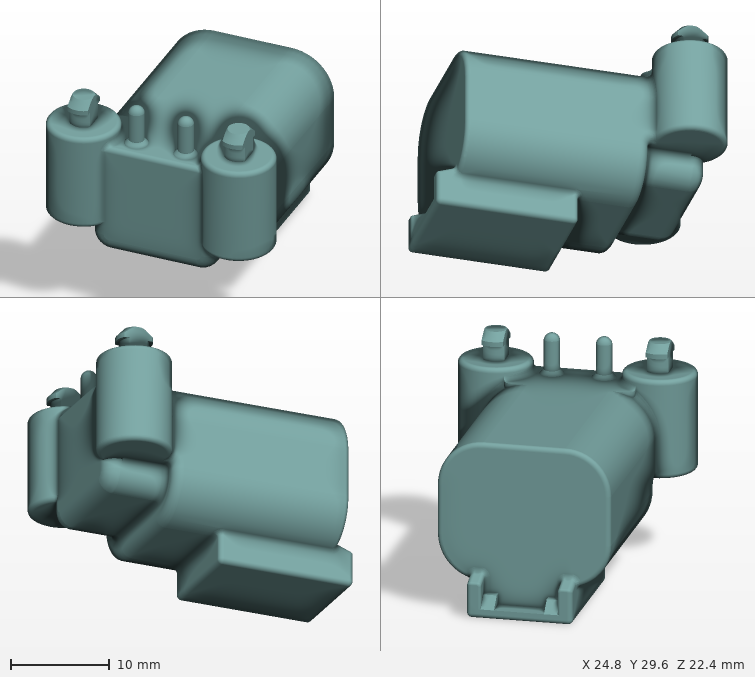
import cadquery as cq
import math


OVERALL_LENGTH = 29.63
TOP_Z = 22.4
EDGE_RADIUS = 0.5

BODY_HALF_WIDTH = 9.05
BODY_BOTTOM_Z = 3.3
BODY_TOP_Z = 18.07
BODY_FRONT_Y = 4.35
BODY_BACK_Y = 23.75
BODY_CORNER_RADIUS = 4.77
BODY_NOSE_RADIUS = 1.0

POST_RADIUS = 3.85
POST_X = 8.55
POST_BOTTOM_Z = 8.83
POST_TOP_Z = 19.35

BLOCK_HALF_WIDTH = 6.87
BLOCK_FRONT_Y = -2.28
BLOCK_BOTTOM_Z = 5.78
BLOCK_CORNER_RADIUS = 2.01
BLOCK_NOSE_RADIUS = 1.5
BLOCK_REAR_RADIUS = 1.0
ROOT_RADIUS = 0.47

WEB_FRONT_Y = -0.6

PIN_X = 2.73
PIN_RADIUS = 0.83
PIN_DOME_HEIGHT = 0.7
COLLAR_RADIUS = 1.27

LATCH_HALF_WIDTH = 1.13
LATCH_NECK_RADIUS = 1.5
LATCH_HEAD_RADIUS = 1.93
LATCH_HEAD_Z = 21.05
LATCH_CONE_Z = 21.55

CONNECTOR_HALF_WIDTH = 5.5
CONNECTOR_FRONT_Y = 10.85
CONNECTOR_BACK_Y = OVERALL_LENGTH - POST_RADIUS
CONNECTOR_BACK_TOP_Z = 3.73
CONNECTOR_SLOPE_DEGREES = 20.0
CONNECTOR_RIM_RADIUS = 0.3

MOUTH_HALF_WIDTH = 4.0
MOUTH_RIM_RADIUS = 0.4
MOUTH_FLOOR_Z = 1.0
RIB_INNER_X = 2.6
RIB_TOP_Z = 2.22
RIB_RAMP_Y = 24.55

ARC_INSET = 1 - math.sqrt(0.5)


def centered_bar(half_width, y0, y1, z0, z1):
    """Box symmetric about X = 0."""
    bar = cq.Workplane("XY").box(2 * half_width, y1 - y0, z1 - z0, centered=(True, False, False))
    return bar.translate((0, y0, z0))


def both_sides(shape):
    """Shape together with its mirror image across X = 0."""
    return shape.union(shape.mirror("YZ"))


def round_edges(part, radius, points):
    """Fillet the edges whose centres lie nearest the points and their mirror images."""
    picked = []
    for x, y, z in points:
        for side_x in {x, -x}:
            picked.append(part.edges(cq.NearestToPointSelector((side_x, y, z))).val())
    return part.newObject(picked).fillet(radius)


def body():
    bar = centered_bar(BODY_HALF_WIDTH, WEB_FRONT_Y, BODY_BACK_Y, BODY_BOTTOM_Z, BODY_TOP_Z)
    bar = bar.edges("|Y").fillet(BODY_CORNER_RADIUS)
    bar = bar.faces(">Y").edges().fillet(EDGE_RADIUS)
    undercut = centered_bar(BODY_HALF_WIDTH, WEB_FRONT_Y, BODY_FRONT_Y, 0, POST_BOTTOM_Z)
    bar = bar.cut(undercut)
    bar = round_edges(bar, EDGE_RADIUS, [(0, BODY_FRONT_Y, POST_BOTTOM_Z)])
    corner_middle = ARC_INSET * BODY_CORNER_RADIUS
    joint_middle = ARC_INSET * EDGE_RADIUS
    nose_edges = [
        (0, BODY_FRONT_Y, BODY_BOTTOM_Z),
        (BODY_HALF_WIDTH - corner_middle, BODY_FRONT_Y, BODY_BOTTOM_Z + corner_middle),
        (BODY_HALF_WIDTH, BODY_FRONT_Y, POST_BOTTOM_Z - EDGE_RADIUS),
        (BODY_HALF_WIDTH, BODY_FRONT_Y - joint_middle, POST_BOTTOM_Z - joint_middle),
        (BODY_HALF_WIDTH, (WEB_FRONT_Y + BODY_FRONT_Y) / 2, POST_BOTTOM_Z),
    ]
    return round_edges(bar, BODY_NOSE_RADIUS, nose_edges)


def posts():
    post = cq.Workplane("XY", origin=(POST_X, 0, POST_BOTTOM_Z)).circle(POST_RADIUS)
    post = post.extrude(POST_TOP_Z - POST_BOTTOM_Z).edges().fillet(EDGE_RADIUS)
    return both_sides(post)


def post_inner_x(y):
    """X where the inner side of the post wall crosses the given Y."""
    return POST_X - math.sqrt(POST_RADIUS**2 - y**2)


def upper_block():
    block = centered_bar(
        BLOCK_HALF_WIDTH, BLOCK_FRONT_Y, BODY_FRONT_Y, POST_BOTTOM_Z + EDGE_RADIUS, BODY_TOP_Z
    )
    block = block.faces(">Y").edges("|Z").fillet(BLOCK_REAR_RADIUS)
    block = block.faces("<Y").edges(">Z").fillet(EDGE_RADIUS)
    return block


def lower_block():
    block = centered_bar(
        BLOCK_HALF_WIDTH, BLOCK_FRONT_Y, BODY_FRONT_Y, BLOCK_BOTTOM_Z, POST_BOTTOM_Z + 2 * EDGE_RADIUS
    )
    block = block.faces("<Z").edges("|Y").fillet(BLOCK_CORNER_RADIUS)
    block = block.faces("<Y").edges("not >Z").fillet(BLOCK_NOSE_RADIUS)
    return block


def body_with_lower_block():
    """Body and lower block with the root of the block rounded along its whole length."""
    block_corner_middle = ARC_INSET * BLOCK_CORNER_RADIUS
    joint_middle = ARC_INSET * EDGE_RADIUS
    corner_top_z = BLOCK_BOTTOM_Z + BLOCK_CORNER_RADIUS
    joint_z = POST_BOTTOM_Z - EDGE_RADIUS
    block_root = [
        (0, BODY_FRONT_Y, BLOCK_BOTTOM_Z),
        (BLOCK_HALF_WIDTH - block_corner_middle, BODY_FRONT_Y, BLOCK_BOTTOM_Z + block_corner_middle),
        (BLOCK_HALF_WIDTH, BODY_FRONT_Y, (corner_top_z + joint_z) / 2),
        (BLOCK_HALF_WIDTH, BODY_FRONT_Y - joint_middle, POST_BOTTOM_Z - joint_middle),
        (BLOCK_HALF_WIDTH, (WEB_FRONT_Y + BODY_FRONT_Y) / 2, POST_BOTTOM_Z),
    ]
    return round_edges(body().union(lower_block()), ROOT_RADIUS, block_root)


def housing():
    """Body, posts and pin block joined with rounded inner corners."""
    middle_z = (POST_BOTTOM_Z + BODY_TOP_Z) / 2
    front_joint_x = post_inner_x(BLOCK_FRONT_Y)

    shell = upper_block().union(posts())
    block_to_post = [
        (front_joint_x, BLOCK_FRONT_Y, middle_z),
        (front_joint_x, BLOCK_FRONT_Y + EDGE_RADIUS / 2, BODY_TOP_Z - EDGE_RADIUS / 2),
        (front_joint_x, -BLOCK_FRONT_Y / 2, BODY_TOP_Z),
    ]
    shell = round_edges(shell, EDGE_RADIUS, block_to_post)

    shell = shell.union(body_with_lower_block())
    body_to_post = [
        (BODY_HALF_WIDTH, POST_RADIUS, middle_z - BODY_NOSE_RADIUS),
        (BODY_HALF_WIDTH - BODY_NOSE_RADIUS, POST_RADIUS, BODY_TOP_Z - BODY_CORNER_RADIUS / 2),
    ]
    return round_edges(shell, EDGE_RADIUS, body_to_post)


def revolved(half_profile):
    """Solid of revolution about the Z axis from an open outline of (radius, height) points."""
    return half_profile.close().revolve(360, (0, 0, 0), (0, 1, 0))


def pins():
    """Pins with a domed tip and a 45 degree collar at the foot."""
    dome_radius = (PIN_RADIUS**2 + PIN_DOME_HEIGHT**2) / (2 * PIN_DOME_HEIGHT)
    half_profile = (
        cq.Workplane("XZ")
        .moveTo(0, BODY_TOP_Z)
        .lineTo(COLLAR_RADIUS, BODY_TOP_Z)
        .lineTo(PIN_RADIUS, BODY_TOP_Z + COLLAR_RADIUS - PIN_RADIUS)
        .lineTo(PIN_RADIUS, TOP_Z - PIN_DOME_HEIGHT)
        .radiusArc((0, TOP_Z), -dome_radius)
    )
    return both_sides(revolved(half_profile).translate((PIN_X, 0, 0)))


def latches():
    """Round-headed studs cut to two flats facing -X and +X."""
    half_profile = [
        (0, POST_TOP_Z),
        (LATCH_NECK_RADIUS, POST_TOP_Z),
        (LATCH_NECK_RADIUS, LATCH_HEAD_Z),
        (LATCH_HEAD_RADIUS, LATCH_HEAD_Z),
        (LATCH_HEAD_RADIUS, LATCH_CONE_Z),
        (LATCH_HALF_WIDTH, TOP_Z),
        (0, TOP_Z),
    ]
    stud = revolved(cq.Workplane("XZ").polyline(half_profile))
    flats = centered_bar(LATCH_HALF_WIDTH, -LATCH_HEAD_RADIUS, LATCH_HEAD_RADIUS, POST_TOP_Z, TOP_Z)
    return both_sides(stud.intersect(flats).translate((POST_X, 0, 0)))


def connector():
    slope_end_y = BODY_BACK_Y - EDGE_RADIUS
    slope_rise = (CONNECTOR_BACK_Y - slope_end_y) * math.tan(math.radians(CONNECTOR_SLOPE_DEGREES))
    top_z = CONNECTOR_BACK_TOP_Z + slope_rise
    side_outline = [
        (CONNECTOR_FRONT_Y, 0),
        (CONNECTOR_BACK_Y, 0),
        (CONNECTOR_BACK_Y, CONNECTOR_BACK_TOP_Z),
        (slope_end_y, top_z),
        (CONNECTOR_FRONT_Y, top_z),
    ]
    block = cq.Workplane("YZ").polyline(side_outline).close().extrude(CONNECTOR_HALF_WIDTH, both=True)
    slope_y = (CONNECTOR_BACK_Y + slope_end_y) / 2
    slope_z = CONNECTOR_BACK_TOP_Z + slope_rise / 2
    outer_edges = [
        (CONNECTOR_HALF_WIDTH, CONNECTOR_FRONT_Y, top_z / 2),
        (CONNECTOR_HALF_WIDTH, CONNECTOR_BACK_Y, CONNECTOR_BACK_TOP_Z / 2),
        (CONNECTOR_HALF_WIDTH, (CONNECTOR_FRONT_Y + CONNECTOR_BACK_Y) / 2, 0),
        (0, CONNECTOR_FRONT_Y, 0),
        (0, CONNECTOR_BACK_Y, 0),
        (CONNECTOR_HALF_WIDTH, slope_y, slope_z),
    ]
    block = round_edges(block, EDGE_RADIUS, outer_edges)

    mouth = centered_bar(MOUTH_HALF_WIDTH, BODY_BACK_Y, CONNECTOR_BACK_Y, MOUTH_FLOOR_Z, top_z)
    block = block.cut(mouth)
    block = round_edges(block, MOUTH_RIM_RADIUS, [(MOUTH_HALF_WIDTH, slope_y, slope_z)])
    wall_middle_x = (MOUTH_HALF_WIDTH + CONNECTOR_HALF_WIDTH) / 2
    wall_back_edges = [(wall_middle_x, CONNECTOR_BACK_Y, CONNECTOR_BACK_TOP_Z)]
    block = round_edges(block, CONNECTOR_RIM_RADIUS, wall_back_edges)
    return block.union(mouth_ribs())


def mouth_ribs():
    """Ramped ribs along both walls of the mouth."""
    side_outline = [
        (BODY_BACK_Y, MOUTH_FLOOR_Z),
        (CONNECTOR_BACK_Y, MOUTH_FLOOR_Z),
        (RIB_RAMP_Y, RIB_TOP_Z),
        (BODY_BACK_Y, RIB_TOP_Z),
    ]
    rib = cq.Workplane("YZ", origin=(RIB_INNER_X, 0, 0)).polyline(side_outline).close()
    return both_sides(rib.extrude(MOUTH_HALF_WIDTH - RIB_INNER_X))


def with_connector(shell):
    """Join the connector to the body underside with a rounded joint along its front and sides."""
    joined = shell.union(connector())
    flat_half_width = BODY_HALF_WIDTH - BODY_CORNER_RADIUS
    front_half_width = CONNECTOR_HALF_WIDTH - EDGE_RADIUS
    corner_middle = ARC_INSET * EDGE_RADIUS
    body_to_connector = [
        (0, CONNECTOR_FRONT_Y, BODY_BOTTOM_Z),
        ((flat_half_width + front_half_width) / 2, CONNECTOR_FRONT_Y, BODY_BOTTOM_Z),
        (CONNECTOR_HALF_WIDTH - corner_middle, CONNECTOR_FRONT_Y + corner_middle, BODY_BOTTOM_Z),
        (CONNECTOR_HALF_WIDTH, (CONNECTOR_FRONT_Y + BODY_BACK_Y) / 2, BODY_BOTTOM_Z),
    ]
    return round_edges(joined, EDGE_RADIUS, body_to_connector)


result = with_connector(housing()).union(pins()).union(latches())